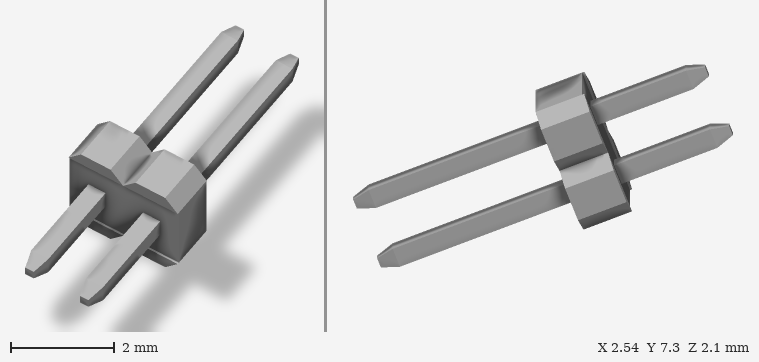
import cadquery as cq

pin_count = 2
pitch = 1.27
overall_length = 7.3

housing_height = 2.1
housing_depth = 1.01
housing_back_y = -0.34
corner_chamfer = 0.29
face_recess = 0.045

back_width = 0.39
front_oversize = 0.011
tip_width = 0.2
tip_length = 0.36

housing_width = pin_count * pitch
housing_front_y = housing_back_y - housing_depth
recess_height = housing_height - 2 * corner_chamfer
front_width = back_width + front_oversize
shank_end_y = overall_length / 2 - tip_length
pin_positions = [(i - (pin_count - 1) / 2) * pitch for i in range(pin_count)]


def make_cell(x):
    """One housing cell: a block along Y with its four long edges chamfered."""
    return (
        cq.Workplane("XY")
        .box(pitch, housing_depth, housing_height)
        .edges("|Y")
        .chamfer(corner_chamfer)
        .translate((x, housing_back_y - housing_depth / 2, 0))
    )


def make_housing():
    """Joined cells with a shallow band across the front and a square hole for each pin."""
    housing = make_cell(pin_positions[0])
    for x in pin_positions[1:]:
        housing = housing.union(make_cell(x))

    recess = (
        cq.Workplane("XY")
        .box(housing_width, face_recess, recess_height)
        .translate((0, housing_front_y + face_recess / 2, 0))
    )
    housing = housing.cut(recess)

    for x in pin_positions:
        hole = cq.Workplane("XY").box(front_width, overall_length, front_width).translate((x, 0, 0))
        housing = housing.cut(hole)
    return housing.solids()


def make_shank(width, start_y, end_y):
    """Square bar along Y between two positions."""
    return cq.Workplane("XZ", origin=(0, end_y, 0)).rect(width, width).extrude(end_y - start_y)


def make_tip(base_width):
    """Tapered pin end that starts at the front end of the shank and points toward -Y."""
    return (
        cq.Workplane("XZ", origin=(0, -shank_end_y, 0))
        .rect(base_width, base_width)
        .workplane(offset=tip_length)
        .rect(tip_width, tip_width)
        .loft(ruled=True)
    )


def make_pin(x):
    """Square pin tapered at both ends; its thicker front part ends at the housing's back face."""
    front_shank = make_shank(front_width, -shank_end_y, housing_back_y)
    back_shank = make_shank(back_width, housing_back_y, shank_end_y)
    front_tip = make_tip(front_width)
    back_tip = make_tip(back_width).mirror("XZ")
    pin = front_shank.union(back_shank).union(front_tip).union(back_tip)
    return pin.solids().translate((x, 0, 0))


housing = make_housing()
pins = [make_pin(x) for x in pin_positions]

result = cq.Compound.makeCompound([housing.val(), *[pin.val() for pin in pins]])